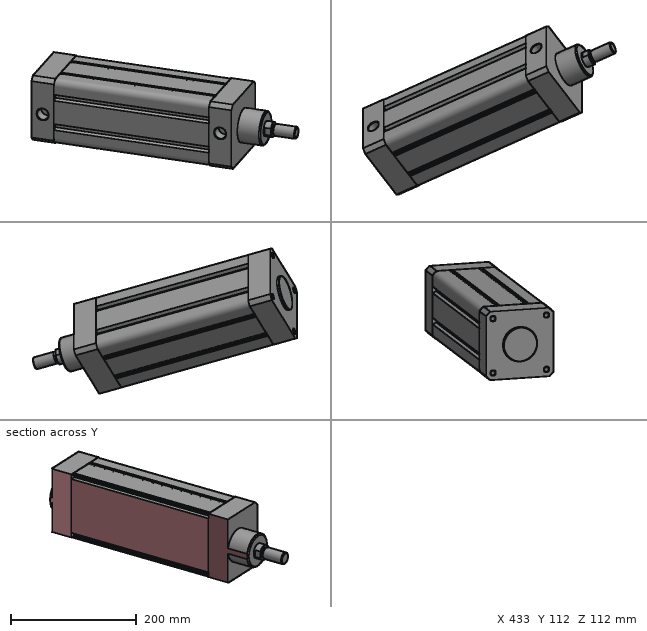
import cadquery as cq

total_length = 433
spigot_length = 4.0
cap_length = 38.0
tube_length = 262.5
collar_length = 38.5

cap_start = spigot_length
tube_start = cap_start + cap_length
front_cap_start = tube_start + tube_length
front_cap_end = front_cap_start + cap_length
collar_end = front_cap_end + collar_length

cap_size = 112.0
cap_corner_diameter = 149.0
boss_radius = 28.0
spigot_chamfer = 1.0
collar_chamfer = 2.0
screw_spacing = 88.8
screw_hole_radius = 4.0
screw_hole_depth = 20.0
screw_hole_chamfer = 1.0
port_radius = 9.5
port_depth = 20.0
port_chamfer = 1.0
port_offset = 6.0

tube_size = 111.3
tube_corner_radius = 10.5
top_groove_center = 24.2
top_groove_mouth = 5.0
top_groove_lip = 1.7
top_groove_width = 8.5
top_groove_depth = 8.0
side_groove_center = 25.5
side_groove_width = 10.5
side_groove_floor = 5.0
side_groove_depth = 6.0

rod_radius = 12.5
neck_radius = 8.5
thread_radius = 10.0
thread_chamfer = 1.5
thread_lead_in = 2.5
shoulder_end = 393.0
thread_start = 394.5
flats_start = 382.8
flats_width = 22.0


def cylinder_along_x(start, length, radius):
    return cq.Workplane("YZ", origin=(start, 0, 0)).circle(radius).extrude(length)


def cap_block(start):
    """Square block whose corners are turned to a diameter about the axis."""
    block = cq.Workplane("YZ", origin=(start, 0, 0)).rect(cap_size, cap_size).extrude(cap_length)
    return block.intersect(cylinder_along_x(start, cap_length, cap_corner_diameter / 2))


def chamfered_hole(mouth, direction, radius, depth, chamfer):
    """Cutter for a blind hole from `mouth` along `direction`, with a 45 degree chamfer at its mouth."""
    bore = cq.Solid.makeCylinder(radius, depth, mouth, direction)
    countersink = cq.Solid.makeCone(radius + chamfer, radius, chamfer, mouth, direction)
    return bore.fuse(countersink)


def port(start, z):
    """Cutter for the air port in the -Y face, halfway along a cap."""
    mouth = cq.Vector(start + cap_length / 2, -cap_size / 2, z)
    return chamfered_hole(mouth, cq.Vector(0, 1, 0), port_radius, port_depth, port_chamfer)


def make_rear_cap():
    spigot = cylinder_along_x(0, spigot_length, boss_radius).faces("<X").chamfer(spigot_chamfer)
    cap = cap_block(cap_start).union(spigot)
    cap = cap.cut(port(cap_start, -port_offset))
    for y in (-screw_spacing / 2, screw_spacing / 2):
        for z in (-screw_spacing / 2, screw_spacing / 2):
            mouth = cq.Vector(cap_start, y, z)
            cap = cap.cut(
                chamfered_hole(
                    mouth, cq.Vector(1, 0, 0), screw_hole_radius, screw_hole_depth, screw_hole_chamfer
                )
            )
    return cap


def make_front_cap():
    collar = cylinder_along_x(front_cap_end, collar_length, boss_radius)
    collar = collar.faces(">X").chamfer(collar_chamfer)
    rod_bore = cylinder_along_x(front_cap_start, collar_end - front_cap_start, rod_radius)
    cap = cap_block(front_cap_start).union(collar)
    return cap.cut(rod_bore).cut(port(front_cap_start, port_offset))


def top_groove():
    """T-slot cutter in the +Z face, on the +Y side."""
    surface = tube_size / 2
    half_mouth = top_groove_mouth / 2
    half_width = top_groove_width / 2
    lip = surface - top_groove_lip
    floor = surface - top_groove_depth
    section = cq.Workplane("YZ", origin=(tube_start, top_groove_center, 0))
    profile = section.polyline([
        (-half_mouth, surface),
        (-half_mouth, lip),
        (-half_width, lip),
        (-half_width, floor),
        (half_width, floor),
        (half_width, lip),
        (half_mouth, lip),
        (half_mouth, surface),
    ])
    return profile.close().extrude(tube_length)


def side_groove():
    """Cutter with sloping walls in the -Y face, on the +Z side."""
    section = cq.Workplane("YZ", origin=(tube_start, -tube_size / 2, side_groove_center))
    profile = section.polyline([
        (0, -side_groove_width / 2),
        (0, side_groove_width / 2),
        (side_groove_depth, side_groove_floor / 2),
        (side_groove_depth, -side_groove_floor / 2),
    ])
    return profile.close().extrude(tube_length)


def make_tube():
    tube = cq.Workplane("YZ", origin=(tube_start, 0, 0)).rect(tube_size, tube_size).extrude(tube_length)
    tube = tube.edges("|X").fillet(tube_corner_radius)
    for groove in (top_groove(), side_groove()):
        pair = groove.union(groove.mirror("XY"))
        tube = tube.cut(pair).cut(pair.mirror("XZ"))
    return tube


def make_rod():
    shoulder = cylinder_along_x(front_cap_start, shoulder_end - front_cap_start, rod_radius)
    flats_length = shoulder_end - flats_start
    flats = cq.Workplane("YZ", origin=(flats_start, 0, 0))
    across_flats = flats.rect(flats_width, 2 * rod_radius).extrude(flats_length)
    outside_flats = flats.rect(2 * rod_radius, 2 * rod_radius).extrude(flats_length).cut(across_flats)
    neck = cylinder_along_x(shoulder_end, thread_start - shoulder_end, neck_radius)
    thread = cylinder_along_x(thread_start, total_length - thread_start, thread_radius)
    thread = thread.faces(">X").chamfer(thread_chamfer)
    thread = thread.faces("<X").chamfer(thread_lead_in, thread_chamfer)
    return shoulder.cut(outside_flats).union(neck).union(thread)


rear_cap = make_rear_cap()
tube = make_tube()
front_cap = make_front_cap()
rod = make_rod()

result = cq.Compound.makeCompound([rear_cap.val(), tube.val(), front_cap.val(), rod.val()])